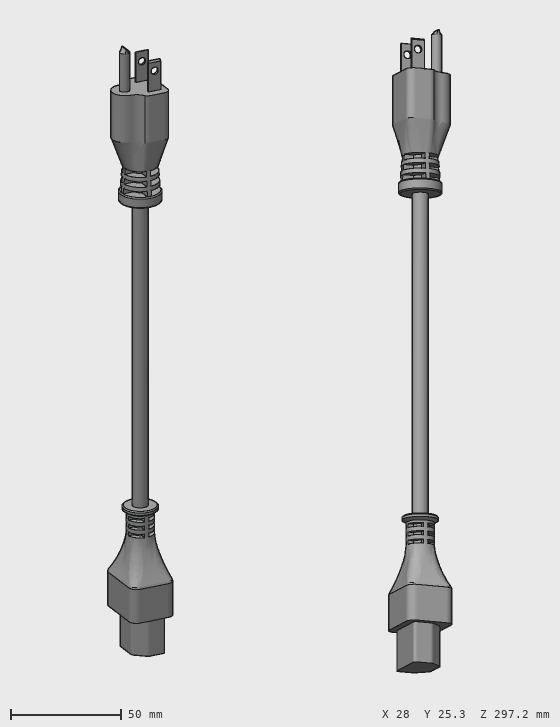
import cadquery as cq
import math


OVERALL_LENGTH = 297.2

CABLE_DIAMETER = 7.5

INSERT_HALF_X = 11.0
INSERT_HALF_Y = 7.5
INSERT_LENGTH = 18.7
INSERT_BEVEL_X = 5.0
INSERT_BEVEL_Y = 6.0
INSERT_BEVEL_RADIUS = 2.5
INSERT_CORNER_RADIUS = 1.5

SHELL_HALF_X = 14.0
SHELL_HALF_Y = 11.0
SHELL_CORNER_RADIUS = 4.0
SHELL_TOP_Z = 36.3
SHELL_RIM_HEIGHT = 1.0
SHELL_RIM_INSET = 0.3

SHOULDER_MIDDLE_Z = 47.0
SHOULDER_MIDDLE_HALF_X = 8.5
SHOULDER_MIDDLE_HALF_Y = 7.5
SHOULDER_MIDDLE_CORNER_RADIUS = 4.5

NECK_BOTTOM_Z = 56.8
NECK_RADIUS = 6.5
NECK_SIDE_HALF_ANGLE = 40
NECK_COLLAR_RADIUS = 8.3
NECK_COLLAR_BOTTOM_Z = 67.5
NECK_COLLAR_TAPER_HEIGHT = 1.2
NECK_COLLAR_CHAMFER = 0.5
CONNECTOR_TOP_Z = 70.5
NECK_GROOVE_HEIGHT = 1.8
NECK_GROOVE_PITCH = 4.0

PLUG_BOTTOM_Z = 220.5
PLUG_COLLAR_TOP_Z = 226.0
PLUG_COLLAR_DIAMETER = 20.0
PLUG_COLLAR_CHAMFER = 0.5
RELIEF_TOP_Z = 238.0
RELIEF_TOP_RADIUS = 8.3
RELIEF_BOTTOM_RADIUS = 9.2
RELIEF_GROOVE_HEIGHT = 2.7
RELIEF_GROOVE_PITCH = 4.8

GROOVE_COUNT = 3
GROOVE_FLOOR_RADIUS = 4.0
GROOVE_BRIDGE_WIDTH = 2.0

PLUG_BODY_BOTTOM_Z = 253.2
PLUG_BODY_TOP_Z = 276.5
PLUG_HALF_X = 11.0
PLUG_BACK_Y = 10.0
PLUG_BACK_RADIUS = 3.3
PLUG_SIDE_END_Y = -0.3
CHEEK_END_X = 10.0
CHEEK_END_Y = -2.7
NOSE_HALF_X = 6.5
NOSE_END_Y = -8.3
NOSE_TIP_Y = -14.3
GROUND_PIN_Y = -8.0

GROUND_PIN_RADIUS = 2.5
GROUND_PIN_TIP_HEIGHT = 2.0
GROUND_PIN_TIP_THICKNESS = 0.5
GROUND_PIN_TIP_SPLIT_ANGLE = 20

BLADE_X = 6.2
BLADE_Y = 4.0
BLADE_THICKNESS = 1.2
BLADE_WIDTH = 6.2
BLADE_TOP_Z = 291.2
BLADE_TIP_CHAMFER = 0.75
BLADE_HOLE_DIAMETER = 3.5
BLADE_HOLE_Z = 286.2


def cylinder(radius, bottom_z, top_z):
    return cq.Workplane("XY").workplane(offset=bottom_z).circle(radius).extrude(top_z - bottom_z)


def circle_point(radius, angle):
    return cq.Vector(radius * math.cos(angle), radius * math.sin(angle))


def circle_wire(radius, angles, z):
    """A circle split into arcs at the given increasing angles, so that a loft can match its pieces."""
    arcs = []
    for start, end in zip(angles, angles[1:] + [angles[0] + 2 * math.pi]):
        points = [circle_point(radius, a) for a in (start, (start + end) / 2, end)]
        arcs.append(cq.Edge.makeThreePointArc(*points))
    return cq.Wire.assembleEdges(arcs).translate(cq.Vector(0, 0, z))


def flex_grooves(bottom_z, height, pitch, outer_radius):
    """Ring grooves, each interrupted by four bridges on the X and Y axes."""
    grooves = cq.Workplane("XY")
    bridge_length = 2 * outer_radius
    for index in range(GROOVE_COUNT):
        groove_z = bottom_z + index * pitch
        ring = (
            cq.Workplane("XY")
            .workplane(offset=groove_z)
            .circle(outer_radius)
            .circle(GROOVE_FLOOR_RADIUS)
            .extrude(height)
        )
        bridge = (
            cq.Workplane("XY")
            .workplane(offset=groove_z)
            .rect(bridge_length, GROOVE_BRIDGE_WIDTH)
            .extrude(height)
        )
        crossed_bridge = bridge.rotate((0, 0, 0), (0, 0, 1), 90)
        bridges = bridge.union(crossed_bridge)
        grooves = grooves.add(ring.cut(bridges).vals())
    return grooves.combine()




def connector_insert():
    return (
        cq.Workplane("XY")
        .moveTo(-INSERT_HALF_X, INSERT_HALF_Y)
        .lineTo(-INSERT_HALF_X, INSERT_BEVEL_Y - INSERT_HALF_Y)
        .lineTo(INSERT_BEVEL_X - INSERT_HALF_X, -INSERT_HALF_Y)
        .lineTo(INSERT_HALF_X - INSERT_BEVEL_X, -INSERT_HALF_Y)
        .lineTo(INSERT_HALF_X, INSERT_BEVEL_Y - INSERT_HALF_Y)
        .lineTo(INSERT_HALF_X, INSERT_HALF_Y)
        .close()
        .extrude(INSERT_LENGTH)
        .edges("|Z and (not >Y)")
        .fillet(INSERT_BEVEL_RADIUS)
        .edges("|Z and >Y")
        .fillet(INSERT_CORNER_RADIUS)
    )


def rounded_rectangle_wire(half_x, half_y, radius, z):
    """A rounded rectangle that starts at the lower end of its +X side and runs counterclockwise."""
    corner_x = half_x - radius
    corner_y = half_y - radius
    reach = radius * math.sqrt(0.5)
    return (
        cq.Workplane("XY")
        .workplane(offset=z)
        .moveTo(half_x, -corner_y)
        .lineTo(half_x, corner_y)
        .threePointArc((corner_x + reach, corner_y + reach), (corner_x, half_y))
        .lineTo(-corner_x, half_y)
        .threePointArc((-corner_x - reach, corner_y + reach), (-half_x, corner_y))
        .lineTo(-half_x, -corner_y)
        .threePointArc((-corner_x - reach, -corner_y - reach), (-corner_x, -half_y))
        .lineTo(corner_x, -half_y)
        .threePointArc((corner_x + reach, -corner_y - reach), (half_x, -corner_y))
        .wire()
        .val()
    )


def shell_rim_wire():
    """Top outline of the connector shell, slightly inside its full outline."""
    return rounded_rectangle_wire(
        SHELL_HALF_X - SHELL_RIM_INSET,
        SHELL_HALF_Y - SHELL_RIM_INSET,
        SHELL_CORNER_RADIUS - SHELL_RIM_INSET,
        SHELL_TOP_Z,
    )


def connector_shell():
    rim_bottom_z = SHELL_TOP_Z - SHELL_RIM_HEIGHT
    block = (
        cq.Workplane("XY")
        .workplane(offset=INSERT_LENGTH)
        .rect(2 * SHELL_HALF_X, 2 * SHELL_HALF_Y)
        .extrude(rim_bottom_z - INSERT_LENGTH)
        .edges("|Z")
        .fillet(SHELL_CORNER_RADIUS)
    )
    block_top = rounded_rectangle_wire(SHELL_HALF_X, SHELL_HALF_Y, SHELL_CORNER_RADIUS, rim_bottom_z)
    rim = cq.Workplane(obj=cq.Solid.makeLoft([block_top, shell_rim_wire()], True))
    return block.union(rim)


def connector_shoulder():
    half_angle = math.radians(NECK_SIDE_HALF_ANGLE)
    neck_angles = []
    for quarter in range(4):
        side_direction = quarter * math.pi / 2
        neck_angles += [side_direction - half_angle, side_direction + half_angle]
    sections = [
        shell_rim_wire(),
        rounded_rectangle_wire(
            SHOULDER_MIDDLE_HALF_X,
            SHOULDER_MIDDLE_HALF_Y,
            SHOULDER_MIDDLE_CORNER_RADIUS,
            SHOULDER_MIDDLE_Z,
        ),
        circle_wire(NECK_RADIUS, neck_angles, NECK_BOTTOM_Z),
    ]
    return cq.Workplane(obj=cq.Solid.makeLoft(sections))


def connector_neck():
    neck = cylinder(NECK_RADIUS, NECK_BOTTOM_Z, NECK_COLLAR_BOTTOM_Z)
    collar = (
        cylinder(NECK_COLLAR_RADIUS, NECK_COLLAR_BOTTOM_Z, CONNECTOR_TOP_Z)
        .faces(">Z")
        .chamfer(NECK_COLLAR_CHAMFER)
        .faces("<Z")
        .chamfer(NECK_COLLAR_TAPER_HEIGHT, NECK_COLLAR_RADIUS - NECK_RADIUS)
    )
    grooves = flex_grooves(
        NECK_BOTTOM_Z,
        NECK_GROOVE_HEIGHT,
        NECK_GROOVE_PITCH,
        NECK_COLLAR_RADIUS,
    )
    return neck.cut(grooves).union(collar)


def make_connector():
    return (
        connector_insert()
        .union(connector_shell())
        .union(connector_shoulder())
        .union(connector_neck())
    )




def make_cable():
    return cylinder(CABLE_DIAMETER / 2, CONNECTOR_TOP_Z, PLUG_BOTTOM_Z)




def arc_middle(start_x, start_y, end_x, end_y):
    """Middle point of the arc between two points that is parallel to Y at its start."""
    run_x = end_x - start_x
    run_y = end_y - start_y
    signed_radius = (run_x**2 + run_y**2) / (2 * run_x)
    half_angle = math.atan2(abs(run_y), abs(signed_radius) - abs(run_x)) / 2
    middle_x = start_x + signed_radius * (1 - math.cos(half_angle))
    middle_y = start_y + math.copysign(signed_radius, run_y) * math.sin(half_angle)
    return middle_x, middle_y


def plug_outline(z):
    """Plug body outline, counterclockwise from the front end of its +X side."""
    back_corner_x = PLUG_HALF_X - PLUG_BACK_RADIUS
    back_corner_y = PLUG_BACK_Y - PLUG_BACK_RADIUS
    reach = PLUG_BACK_RADIUS * math.sqrt(0.5)
    cheek_mid_x, cheek_mid_y = arc_middle(PLUG_HALF_X, PLUG_SIDE_END_Y, CHEEK_END_X, CHEEK_END_Y)
    hollow_mid_x, hollow_mid_y = arc_middle(NOSE_HALF_X, NOSE_END_Y, CHEEK_END_X, CHEEK_END_Y)
    return (
        cq.Workplane("XY")
        .workplane(offset=z)
        .moveTo(PLUG_HALF_X, PLUG_SIDE_END_Y)
        .lineTo(PLUG_HALF_X, back_corner_y)
        .threePointArc((back_corner_x + reach, back_corner_y + reach), (back_corner_x, PLUG_BACK_Y))
        .lineTo(-back_corner_x, PLUG_BACK_Y)
        .threePointArc((-back_corner_x - reach, back_corner_y + reach), (-PLUG_HALF_X, back_corner_y))
        .lineTo(-PLUG_HALF_X, PLUG_SIDE_END_Y)
        .threePointArc((-cheek_mid_x, cheek_mid_y), (-CHEEK_END_X, CHEEK_END_Y))
        .threePointArc((-hollow_mid_x, hollow_mid_y), (-NOSE_HALF_X, NOSE_END_Y))
        .threePointArc((0, NOSE_TIP_Y), (NOSE_HALF_X, NOSE_END_Y))
        .threePointArc((hollow_mid_x, hollow_mid_y), (CHEEK_END_X, CHEEK_END_Y))
        .threePointArc((cheek_mid_x, cheek_mid_y), (PLUG_HALF_X, PLUG_SIDE_END_Y))
        .wire()
    )


def plug_body():
    return plug_outline(PLUG_BODY_BOTTOM_Z).extrude(PLUG_BODY_TOP_Z - PLUG_BODY_BOTTOM_Z)


def plug_taper():
    """Blend from the round strain relief to the plug body outline."""
    back_corner_x = PLUG_HALF_X - PLUG_BACK_RADIUS
    back_corner_y = PLUG_BACK_Y - PLUG_BACK_RADIUS
    right_side_points = [
        (NOSE_HALF_X, NOSE_END_Y),
        (CHEEK_END_X, CHEEK_END_Y),
        (PLUG_HALF_X, PLUG_SIDE_END_Y),
        (PLUG_HALF_X, back_corner_y),
        (back_corner_x, PLUG_BACK_Y),
    ]
    right_angles = [math.atan2(y, x) for x, y in right_side_points]
    left_angles = [math.pi - angle for angle in reversed(right_angles)]
    first_corner = right_side_points.index((PLUG_HALF_X, PLUG_SIDE_END_Y))
    wrapped_angles = [angle + 2 * math.pi for angle in right_angles[:first_corner]]
    angles = right_angles[first_corner:] + left_angles + wrapped_angles
    sections = [
        circle_wire(RELIEF_TOP_RADIUS, angles, RELIEF_TOP_Z),
        plug_outline(PLUG_BODY_BOTTOM_Z).val(),
    ]
    return cq.Workplane(obj=cq.Solid.makeLoft(sections))


def plug_relief():
    relief_height = RELIEF_TOP_Z - PLUG_COLLAR_TOP_Z
    cone = cq.Workplane(
        obj=cq.Solid.makeCone(
            RELIEF_BOTTOM_RADIUS,
            RELIEF_TOP_RADIUS,
            relief_height,
            pnt=cq.Vector(0, 0, PLUG_COLLAR_TOP_Z),
        )
    )
    grooves = flex_grooves(
        PLUG_COLLAR_TOP_Z,
        RELIEF_GROOVE_HEIGHT,
        RELIEF_GROOVE_PITCH,
        PLUG_COLLAR_DIAMETER / 2,
    )
    collar = (
        cylinder(PLUG_COLLAR_DIAMETER / 2, PLUG_BOTTOM_Z, PLUG_COLLAR_TOP_Z)
        .edges()
        .chamfer(PLUG_COLLAR_CHAMFER)
    )
    return cone.cut(grooves).union(collar)


def ground_pin():
    """Round pin whose end narrows to a thin edge along X."""
    shoulder_z = OVERALL_LENGTH - GROUND_PIN_TIP_HEIGHT
    pin = cylinder(GROUND_PIN_RADIUS, PLUG_BODY_TOP_Z, shoulder_z)
    split_angle = math.radians(GROUND_PIN_TIP_SPLIT_ANGLE)
    base_angles = [-split_angle, split_angle, math.pi - split_angle, math.pi + split_angle]
    half_thickness = GROUND_PIN_TIP_THICKNESS / 2
    tip_edge = cq.Wire.makePolygon(
        [
            cq.Vector(GROUND_PIN_RADIUS, -half_thickness, OVERALL_LENGTH),
            cq.Vector(GROUND_PIN_RADIUS, half_thickness, OVERALL_LENGTH),
            cq.Vector(-GROUND_PIN_RADIUS, half_thickness, OVERALL_LENGTH),
            cq.Vector(-GROUND_PIN_RADIUS, -half_thickness, OVERALL_LENGTH),
        ],
        close=True,
    )
    base = circle_wire(GROUND_PIN_RADIUS, base_angles, shoulder_z)
    tip = cq.Workplane(obj=cq.Solid.makeLoft([base, tip_edge], True))
    return pin.union(tip).translate((0, GROUND_PIN_Y, 0))


def blade(side):
    """Flat blade with a bevelled outer tip edge; side is -1 or 1 along X."""
    outer_edge = ">X" if side > 0 else "<X"
    return (
        cq.Workplane("XY")
        .workplane(offset=PLUG_BODY_TOP_Z)
        .center(side * BLADE_X, BLADE_Y)
        .rect(BLADE_THICKNESS, BLADE_WIDTH)
        .extrude(BLADE_TOP_Z - PLUG_BODY_TOP_Z)
        .faces(">Z")
        .edges(outer_edge)
        .chamfer(BLADE_TIP_CHAMFER)
    )


def blade_holes():
    return (
        cq.Workplane("YZ")
        .center(BLADE_Y, BLADE_HOLE_Z)
        .circle(BLADE_HOLE_DIAMETER / 2)
        .extrude(PLUG_HALF_X, both=True)
    )


def make_plug():
    plug = plug_body().union(plug_taper()).union(plug_relief())
    for side in (-1, 1):
        plug = plug.union(blade(side))
    return plug.cut(blade_holes()).union(ground_pin())


connector = make_connector()
cable = make_cable()
plug = make_plug()

result = cq.Compound.makeCompound([connector.val(), cable.val(), plug.val()])